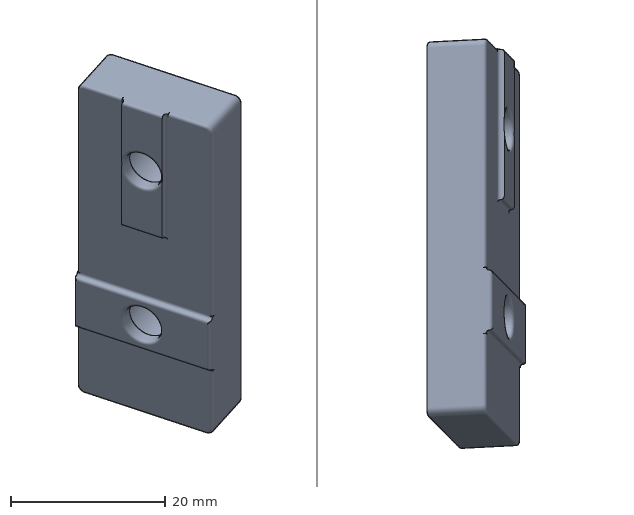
import cadquery as cq
import math

width = 20.0
height = 50.0
total_depth = 8.8
rib_height = 0.8
corner_radius = 1.0
edge_radius = 0.4

foot_radius = 0.4
cross_rib_height = 8.0
cross_rib_center_z = 15.0
key_width = 6.0
key_length = 20.0

hole_diameter = 5.5
counterbore_diameter = 10.0
counterbore_depth = 6.8
hole_heights = (cross_rib_center_z, height - key_length / 2)

plate_depth = total_depth - rib_height
back_y = total_depth / 2
front_y = -back_y
plate_front_y = front_y + rib_height


def make_block(x_size, z_size, center_z, start_y, depth):
    """Block centred on X, reaching from start_y towards the front."""
    plane = cq.Workplane("XZ", origin=(0, start_y, center_z))
    return plane.rect(x_size, z_size).extrude(depth)


def make_plate():
    plate = make_block(width, height, height / 2, back_y, plate_depth)
    plate = plate.edges("|Y").fillet(corner_radius)
    return plate.faces("<Y or >Y").edges().fillet(edge_radius)


def make_foot(rib_width, rib_length, center_z):
    """Concave fillet around a rib, on a base that fills the rounded plate edge below it."""
    base_y = plate_front_y + edge_radius
    base = make_block(2 * width, 2 * height, center_z, base_y, edge_radius)
    core = make_block(rib_width, rib_length, center_z, plate_front_y, rib_height)
    inner_edges = cq.selectors.BoxSelector(
        (-width / 2, plate_front_y - foot_radius / 2, center_z - rib_length),
        (width / 2, plate_front_y + foot_radius / 2, center_z + rib_length),
        boundingbox=False,
    )
    foot = base.union(core).edges(inner_edges).fillet(foot_radius)
    flare = 2 * foot_radius
    foot_depth = edge_radius + foot_radius
    foot = foot.intersect(make_block(rib_width + flare, rib_length + flare, center_z, base_y, foot_depth))
    return foot.intersect(make_block(width, height, height / 2, back_y, total_depth))


def make_rib(rib_width, rib_length, center_z, rounded_edges):
    """Rib on the plate front; rounded_edges selects the rim edges of its face to round."""
    rib = make_block(rib_width, rib_length, center_z, plate_front_y, rib_height)
    rib = rib.faces("<Y").edges(rounded_edges).fillet(edge_radius)
    return rib.union(make_foot(rib_width, rib_length, center_z))


def make_bolt_hole(center_z):
    """Stepped hole whose narrow bore flares out in a quarter circle at both of its ends."""
    bore_radius = hole_diameter / 2
    counterbore_radius = counterbore_diameter / 2
    shoulder_y = back_y - counterbore_depth
    flare_radius = bore_radius + edge_radius
    arc_offset = edge_radius * (1 - math.sqrt(0.5))
    arc_mid_radius = bore_radius + arc_offset
    section = (
        cq.Workplane("XY", origin=(0, 0, center_z))
        .moveTo(0, front_y)
        .lineTo(flare_radius, front_y)
        .threePointArc((arc_mid_radius, front_y + arc_offset), (bore_radius, front_y + edge_radius))
        .lineTo(bore_radius, shoulder_y - edge_radius)
        .threePointArc((arc_mid_radius, shoulder_y - arc_offset), (flare_radius, shoulder_y))
        .lineTo(counterbore_radius, shoulder_y)
        .lineTo(counterbore_radius, back_y)
        .lineTo(0, back_y)
        .close()
    )
    return section.revolve(360, (0, 0, 0), (0, 1, 0))


cross_rib = make_rib(width, cross_rib_height, cross_rib_center_z, "|X or |Z")
key = make_rib(key_width, key_length, height - key_length / 2, "|X")
result = make_plate().union(cross_rib).union(key)
for hole_height in hole_heights:
    result = result.cut(make_bolt_hole(hole_height))